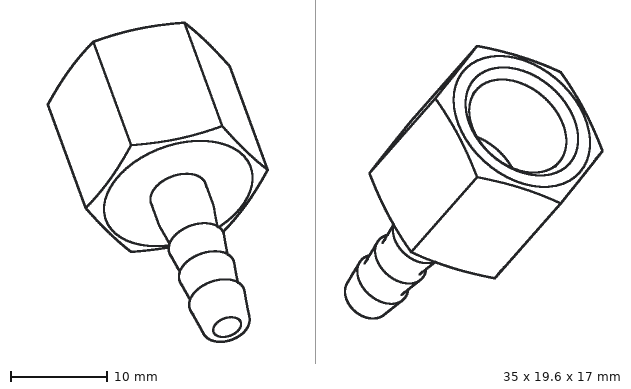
import cadquery as cq
import math


total_length = 35.0

nut_length = 16.0
across_flats = 17.0
across_corners = across_flats / math.cos(math.radians(30))
nut_face_diameter = 16.03
corner_chamfer_length = 0.63
bore_diameter = 11.4
mouth_diameter = 13.23
nut_floor = 3.0

tube_diameter = 6.02
flange_diameter = 10.9
flange_thickness = 2.0
barb_count = 4
barb_pitch = 4.0
barb_root_diameter = 5.0
barb_root_fillet = 0.42
tip_fillet = 0.5
passage_diameter = 3.0
countersink_diameter = 3.57

floor_x = nut_length - nut_floor
flange_x = floor_x - flange_thickness
barbs_x = total_length - barb_count * barb_pitch


def cylinder(diameter, start, end):
    """Cylinder about the X axis from x = start to x = end."""
    return cq.Workplane("YZ", origin=(start, 0, 0)).circle(diameter / 2).extrude(end - start)


def revolve_about_x(outline):
    """Solid of revolution about X from (x, radius) points."""
    return cq.Workplane("XY").polyline(outline).close().revolve(360, (0, 0, 0), (1, 0, 0))


def mouth_cone(wide_diameter, narrow_diameter, start):
    """45 degree cone that narrows from x = start, for chamfering the mouth of a hole."""
    depth = (wide_diameter - narrow_diameter) / 2
    outline = [
        (start, 0),
        (start, wide_diameter / 2),
        (start + depth, narrow_diameter / 2),
        (start + depth, 0),
    ]
    return revolve_about_x(outline)


def corner_envelope():
    """Cone-ended cylinder that chamfers the hex corners at both ends."""
    outline = [
        (0, 0),
        (0, nut_face_diameter / 2),
        (corner_chamfer_length, across_corners / 2),
        (nut_length - corner_chamfer_length, across_corners / 2),
        (nut_length, nut_face_diameter / 2),
        (nut_length, 0),
    ]
    return revolve_about_x(outline)


def make_nut():
    hexagon = cq.Workplane("YZ").polygon(6, across_corners).extrude(nut_length)
    body = hexagon.intersect(corner_envelope())
    body = body.cut(cylinder(bore_diameter, 0, floor_x))
    body = body.cut(mouth_cone(mouth_diameter, bore_diameter, 0))
    return body.cut(cylinder(tube_diameter, floor_x, nut_length))


def make_nipple():
    outline = [
        (flange_x, 0),
        (flange_x, flange_diameter / 2),
        (floor_x, flange_diameter / 2),
        (floor_x, tube_diameter / 2),
    ]
    for barb in range(barb_count):
        barb_start = barbs_x + barb * barb_pitch
        outline.append((barb_start, tube_diameter / 2))
        outline.append((barb_start + barb_pitch, barb_root_diameter / 2))
    outline.append((total_length, 0))
    body = revolve_about_x(outline)

    root_circles = cq.selectors.RadiusNthSelector(0)
    tip_rim = cq.selectors.StringSyntaxSelector(">X")
    body = body.edges(root_circles - tip_rim).fillet(barb_root_fillet)
    body = body.faces(">X").edges().fillet(tip_fillet)

    body = body.cut(cylinder(passage_diameter, flange_x, total_length))
    return body.cut(mouth_cone(countersink_diameter, passage_diameter, flange_x))


nut = make_nut()
nipple = make_nipple()

result = cq.Compound.makeCompound([nut.val(), nipple.val()])